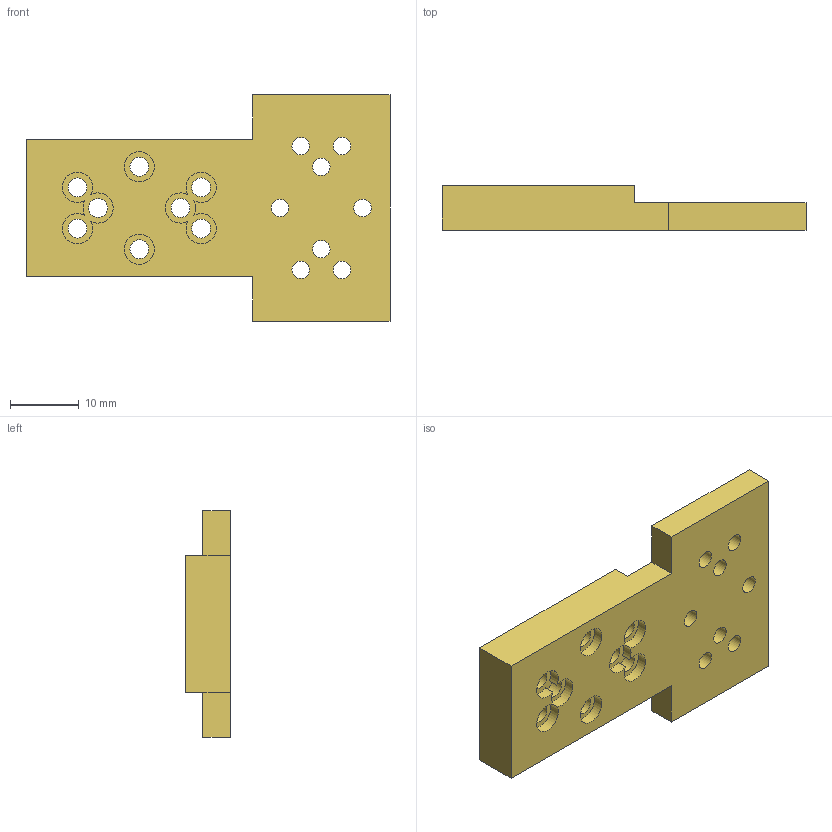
import cadquery as cq

stem_length = 33.0
stem_height = 20.0
head_length = 20.0
head_height = 33.0
plate_thickness = 4.0
pad_length = 28.0
pad_thickness = 6.5

pair_half_spacing = 3.0
inner_offset = 6.0
outer_offset = 9.0

stem_pattern_x = stem_length / 2
stem_hole_diameter = 2.75
counterbore_diameter = 4.4
counterbore_depth = 1.5

head_pattern_x = stem_length + head_length / 2
head_hole_diameter = 2.55


def block(x_start, length, thickness, height):
    """Box with its front face on Y = 0, centred on Z = 0."""
    return (
        cq.Workplane("XY")
        .box(length, thickness, height, centered=(False, False, True))
        .translate((x_start, 0, 0))
    )


def cylinders(points, diameter, depth):
    """Cylinders that start on the front face and run in +Y."""
    return (
        cq.Workplane("XZ")
        .pushPoints(points)
        .circle(diameter / 2)
        .extrude(-depth)
    )


def inner_points():
    """Four points on the pattern axes."""
    return [
        (inner_offset, 0),
        (-inner_offset, 0),
        (0, inner_offset),
        (0, -inner_offset),
    ]


def outer_points():
    """Two pairs of points at opposite ends of the pattern."""
    return [
        (side * outer_offset, end * pair_half_spacing)
        for side in (-1, 1)
        for end in (-1, 1)
    ]


def stem_points():
    """Pattern on the stem, with its pairs at the two ends in X."""
    return [(stem_pattern_x + u, v) for u, v in inner_points() + outer_points()]


def head_points():
    """Same pattern on the head, turned so its pairs lie at the two ends in Z."""
    return [(head_pattern_x + v, u) for u, v in inner_points() + outer_points()]


stem = block(0, stem_length, plate_thickness, stem_height)
head = block(stem_length, head_length, plate_thickness, head_height)
pad = block(0, pad_length, pad_thickness, stem_height)
body = stem.union(head).union(pad)

body = body.cut(cylinders(stem_points(), stem_hole_diameter, pad_thickness))
body = body.cut(cylinders(stem_points(), counterbore_diameter, counterbore_depth))

result = body.cut(cylinders(head_points(), head_hole_diameter, plate_thickness))